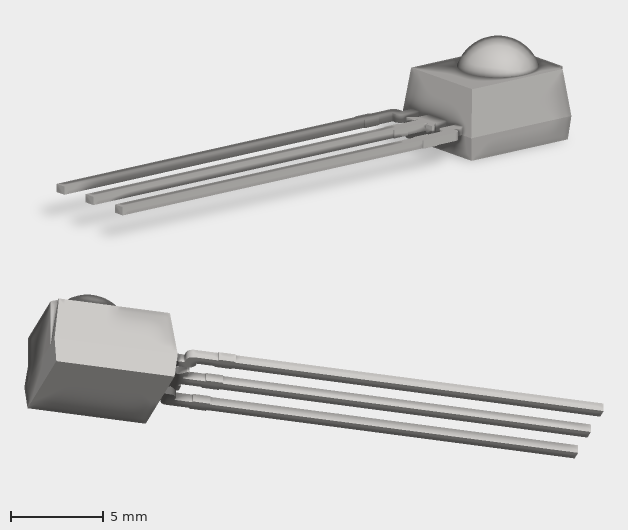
import cadquery as cq


housing_width = 6.0
housing_length = 6.95
parting_height = 1.33
housing_height = 3.97
lower_inset = 0.14
upper_inset = 0.35
back_rib_width = 4.5
back_rib_flare = 0.25

overall_height = 5.58
dome_base_radius = 2.23
dome_y = 4.25

overall_length = 31.0
lead_pitch = 2.55
lead_width = 0.68
lead_thickness = 0.45
lead_tip_y = housing_length - overall_length
embed_depth = 0.45
stop_width = 0.87
stop_start_y = -2.32
stop_end_y = -3.3

neck_inner_x = 1.65
neck_outer_x = 2.2
crank_top_y = -0.62
crank_bottom_y = -1.3
crank_bend_radius = 0.37

head_half_width = 0.78
barb_start_y = -0.68
barb_mid = (0.9, -0.87)
barb_half_width = 1.12
barb_tip_y = -1.05
barb_end_y = -1.2
notch_radius = 0.12
notch_centre_y = -1.13


def drafted_block(inset, height):
    """Block rising from the parting plane (or falling, if height is negative), walls leaning inward."""
    centre_y = housing_length / 2
    return (
        cq.Workplane("XY", origin=(0, centre_y, parting_height))
        .rect(housing_width, housing_length)
        .workplane(offset=height)
        .rect(housing_width - 2 * inset, housing_length - 2 * inset)
        .loft(ruled=True)
    )


def back_rib():
    """Upright panel with slanted sides that fills the draft of the back wall."""
    half_back = back_rib_width / 2
    half_front = half_back + back_rib_flare
    front_y = housing_length - upper_inset
    return (
        cq.Workplane("XY", origin=(0, 0, parting_height))
        .polyline([
            (-half_back, housing_length),
            (half_back, housing_length),
            (half_front, front_y),
            (-half_front, front_y),
        ])
        .close()
        .extrude(housing_height - parting_height)
    )


def lens_dome():
    """Spherical cap standing on the top face."""
    cap_height = overall_height - housing_height
    sphere_radius = (dome_base_radius**2 + cap_height**2) / (2 * cap_height)
    sphere = cq.Workplane("XY", origin=(0, dome_y, overall_height - sphere_radius)).sphere(sphere_radius)
    clearance = 0.3
    cap_zone = (
        cq.Workplane("XY", origin=(0, dome_y, housing_height))
        .circle(sphere_radius + clearance)
        .extrude(cap_height + clearance)
    )
    return sphere.intersect(cap_zone)


def lead_workplane():
    """Leads lie with their lower face on the parting plane."""
    return cq.Workplane("XY", origin=(0, 0, parting_height))


def insertion_stop(centre_x):
    """Slightly wider stretch of a lead."""
    return (
        lead_workplane()
        .center(centre_x, (stop_start_y + stop_end_y) / 2)
        .rect(stop_width, stop_start_y - stop_end_y)
        .extrude(lead_thickness)
    )


def outer_lead(side):
    """Lead cranked outward; side is -1 for the -X lead and +1 for the +X lead."""
    inner_x = lead_pitch - lead_width / 2
    outer_x = lead_pitch + lead_width / 2
    outline = [
        (neck_inner_x, embed_depth),
        (neck_outer_x, embed_depth),
        (neck_outer_x, crank_top_y),
        (outer_x, crank_top_y),
        (outer_x, lead_tip_y),
        (inner_x, lead_tip_y),
        (inner_x, crank_bottom_y),
        (neck_inner_x, crank_bottom_y),
    ]
    bend_corners = [(outer_x, crank_top_y), (neck_inner_x, crank_bottom_y)]
    blade = (
        lead_workplane()
        .polyline([(side * x, y) for x, y in outline])
        .close()
        .extrude(lead_thickness)
    )
    mid_height = parting_height + lead_thickness / 2
    for x, y in bend_corners:
        corner_edge = cq.selectors.NearestToPointSelector((side * x, y, mid_height))
        blade = blade.edges(corner_edge).fillet(crank_bend_radius)
    return blade.union(insertion_stop(side * lead_pitch))


def centre_lead():
    """Straight lead with a barbed head, notched on both sides of the shank."""
    half_width = lead_width / 2
    notch_outer_x = half_width + 2 * notch_radius
    half_blade = (
        lead_workplane()
        .moveTo(0, embed_depth)
        .lineTo(head_half_width, embed_depth)
        .lineTo(head_half_width, barb_start_y)
        .threePointArc(barb_mid, (barb_half_width, barb_tip_y))
        .lineTo(barb_half_width, barb_end_y)
        .lineTo(notch_outer_x, barb_end_y)
        .lineTo(notch_outer_x, notch_centre_y)
        .threePointArc(
            (half_width + notch_radius, notch_centre_y + notch_radius),
            (half_width, notch_centre_y),
        )
        .lineTo(half_width, lead_tip_y)
        .lineTo(0, lead_tip_y)
        .close()
        .extrude(lead_thickness)
    )
    return half_blade.union(half_blade.mirror("YZ")).union(insertion_stop(0)).clean()


leads = [centre_lead()]
for side in (-1, 1):
    leads.append(outer_lead(side))

housing = (
    drafted_block(lower_inset, -parting_height)
    .union(drafted_block(upper_inset, housing_height - parting_height))
    .union(back_rib())
    .union(lens_dome())
)
for lead in leads:
    housing = housing.cut(lead)

result = cq.Compound.makeCompound([housing.val(), *[lead.val() for lead in leads]])